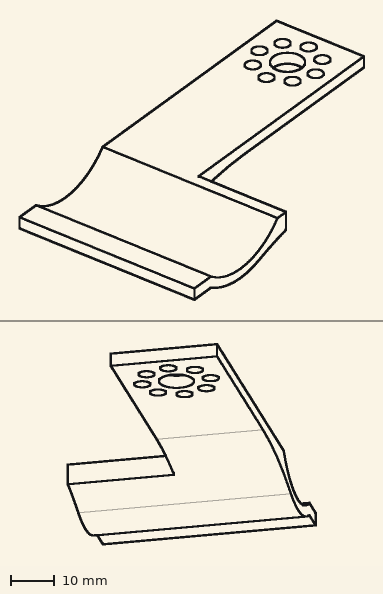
import cadquery as cq
import math

length = 98.0
cradle_width = 50.0
arm_width = cradle_width / 2
cradle_depth = 35.0

height = 9.0
arm_thickness = 3.0
trough_y = 17.5
trough_radius = 18.7
trough_wall = 2.5
lip_top = 6.3
blend_radius = 83.3

center_hole_diameter = 8.0
small_hole_diameter = 3.7
small_hole_count = 8
hole_circle_radius = 8.0

outer_radius = trough_radius + trough_wall
axis_z = outer_radius
arm_bottom = height - arm_thickness


def half_chord(radius, z):
    """Distance along Y from the trough axis to its circle at height z."""
    return math.sqrt(radius**2 - (axis_z - z) ** 2)


def circle_z(radius, y):
    """Height of the lower half of a trough circle at position y."""
    return axis_z - math.sqrt(radius**2 - (y - trough_y) ** 2)


def side_profile():
    """Closed Y-Z outline of the arm, trough and lip."""
    crest_y = trough_y + half_chord(trough_radius, height)
    lip_y = trough_y - half_chord(trough_radius, lip_top)
    lip_bottom = circle_z(outer_radius, lip_y)

    blend_z = arm_bottom - blend_radius
    center_distance = outer_radius + blend_radius
    blend_y = trough_y + math.sqrt(center_distance**2 - (axis_z - blend_z) ** 2)
    tangent_y = trough_y + (blend_y - trough_y) * outer_radius / center_distance
    tangent_z = circle_z(outer_radius, tangent_y)
    blend_mid_y = (blend_y + tangent_y) / 2
    blend_mid_z = blend_z + math.sqrt(blend_radius**2 - (blend_mid_y - blend_y) ** 2)

    return (
        cq.Workplane("YZ")
        .moveTo(length, height)
        .lineTo(crest_y, height)
        .threePointArc((trough_y, trough_wall), (lip_y, lip_top))
        .lineTo(0, lip_top)
        .lineTo(0, lip_bottom)
        .lineTo(lip_y, lip_bottom)
        .threePointArc((trough_y, 0), (tangent_y, tangent_z))
        .threePointArc((blend_mid_y, blend_mid_z), (blend_y, arm_bottom))
        .lineTo(length, arm_bottom)
        .close()
    )


def plan_prism():
    """L-shaped plan outline, tall enough to contain the whole profile."""
    return (
        cq.Workplane("XY")
        .moveTo(0, 0)
        .lineTo(cradle_width, 0)
        .lineTo(cradle_width, cradle_depth)
        .lineTo(arm_width, cradle_depth)
        .lineTo(arm_width, length)
        .lineTo(0, length)
        .close()
        .extrude(height)
    )


def hole_cutters():
    """Center hole and the ring of small holes around it."""
    hole_plane = cq.Workplane("XY").center(arm_width / 2, length - arm_width / 2)
    center_hole = hole_plane.circle(center_hole_diameter / 2).extrude(height)
    small_holes = (
        hole_plane.polarArray(hole_circle_radius, 0, 360, small_hole_count)
        .circle(small_hole_diameter / 2)
        .extrude(height)
    )
    return center_hole.union(small_holes)


body = side_profile().extrude(cradle_width).intersect(plan_prism())
result = body.cut(hole_cutters())